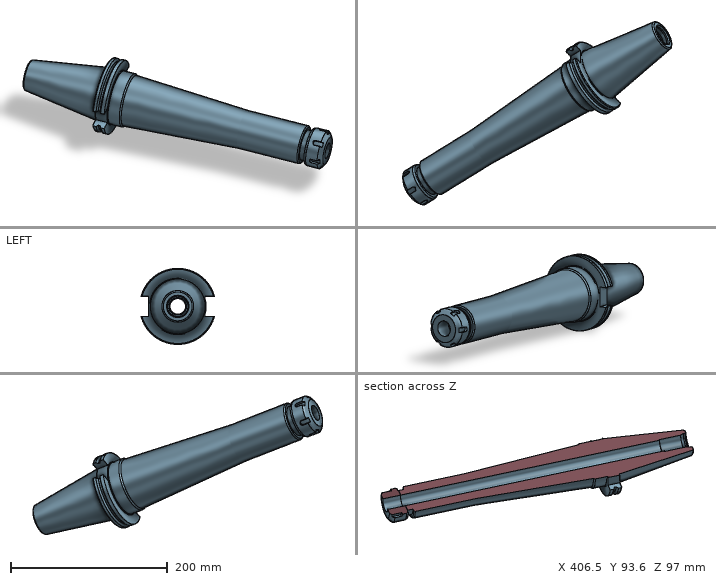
import cadquery as cq
import math

OVERALL = 406.5

GAUGE_X = 102.5
FLANGE_X = 104.5
FLANGE_LENGTH = 16.0
COLLAR_END_X = 136.5
CONE_END_X = 292.5
SHANK_END_X = 375.5
NUT_X = 383.0

GAUGE_D = 70.0
TAPER_RATIO = 7 / 24
FLANGE_D = 97.0
COLLAR_D = 70.5
CONE_LARGE_D = 67.0
SHANK_D = 50.0
NECK_D = 40.0

TAPER_CHAMFER = 1.5
FLANGE_CHAMFER = 1.2
COLLAR_CHAMFER = 2.0
SHANK_CHAMFER = 1.5
FLANGE_ROOT_RADIUS = 1.0

GROOVE_FLOOR = 2.5
GROOVE_DEPTH = 3.3
GROOVE_WALL_ANGLE = 30.0

SLOT_WIDTH = 25.5
SLOT_FLOOR_FRONT = 35.0
SLOT_FLOOR_BACK = 37.5

MOUTH_D = 28.5
MOUTH_DEPTH = 2.0
COUNTERBORE_D = 26.0
COUNTERBORE_DEPTH = 4.0
THREAD_X = 8.0
THREAD_D = 22.5
THREAD_DEPTH = 36.5
BORE_D = 20.0

NUT_D = 50.0
NUT_REAR_CHAMFER_LENGTH = 3.0
NUT_REAR_CHAMFER_DEPTH = 1.2
NUT_EDGE_X = 401.0
NUT_NOSE_X = 403.0
NUT_NOSE_D = 46.5
NUT_FACE_D = 36.0
WRENCH_SLOTS = 6
WRENCH_SLOT_WIDTH = 6.0
WRENCH_SLOT_X = 391.0
WRENCH_SLOT_FLOOR = 22.0


def turned(points):
    """Solid turned about the X axis from a profile of (x, radius) points."""
    return cq.Workplane("XY").polyline(points).close().revolve(360, (0, 0, 0), (1, 0, 0))


def fillet_circle(body, x, diameter, radius):
    """Fillet the circular edge of the given diameter in the plane at x."""
    reach = diameter / 2 + radius
    around = cq.selectors.BoxSelector(
        (x - radius, -reach, -reach), (x + radius, reach, reach), boundingbox=True
    )
    return body.edges(around).fillet(radius)


def holder_blank():
    gauge_r = GAUGE_D / 2
    tip_r = gauge_r - GAUGE_X * TAPER_RATIO / 2
    flange_r = FLANGE_D / 2
    flange_end = FLANGE_X + FLANGE_LENGTH
    shank_r = SHANK_D / 2
    blank = turned([
        (0, 0),
        (0, tip_r - TAPER_CHAMFER),
        (TAPER_CHAMFER, tip_r + TAPER_CHAMFER * TAPER_RATIO / 2),
        (GAUGE_X, gauge_r),
        (FLANGE_X, gauge_r),
        (FLANGE_X, flange_r - FLANGE_CHAMFER),
        (FLANGE_X + FLANGE_CHAMFER, flange_r),
        (flange_end, flange_r),
        (flange_end, COLLAR_D / 2),
        (COLLAR_END_X, COLLAR_D / 2),
        (COLLAR_END_X + COLLAR_CHAMFER, CONE_LARGE_D / 2),
        (CONE_END_X, shank_r),
        (SHANK_END_X - SHANK_CHAMFER, shank_r),
        (SHANK_END_X, shank_r - SHANK_CHAMFER),
        (SHANK_END_X, NECK_D / 2),
        (NUT_X, NECK_D / 2),
        (NUT_X, 0),
    ])
    return fillet_circle(
        fillet_circle(blank, FLANGE_X, GAUGE_D, FLANGE_ROOT_RADIUS),
        flange_end, COLLAR_D, FLANGE_ROOT_RADIUS,
    )


def gripper_groove():
    middle = FLANGE_X + FLANGE_LENGTH / 2
    half_floor = GROOVE_FLOOR / 2
    half_mouth = half_floor + GROOVE_DEPTH * math.tan(math.radians(GROOVE_WALL_ANGLE))
    floor_r = FLANGE_D / 2 - GROOVE_DEPTH
    return turned([
        (middle - half_mouth, FLANGE_D / 2),
        (middle - half_floor, floor_r),
        (middle + half_floor, floor_r),
        (middle + half_mouth, FLANGE_D / 2),
    ])


def drive_slot(floor, side):
    """Cutter for one drive slot; side is -1 for -Y and +1 for +Y."""
    depth = FLANGE_D / 2 - floor
    return (
        cq.Workplane("XY")
        .box(FLANGE_LENGTH, depth, SLOT_WIDTH)
        .translate((FLANGE_X + FLANGE_LENGTH / 2, side * (floor + depth / 2), 0))
    )


def holder_bore():
    return turned([
        (0, 0),
        (0, MOUTH_D / 2),
        (MOUTH_DEPTH, COUNTERBORE_D / 2),
        (COUNTERBORE_DEPTH, COUNTERBORE_D / 2),
        (THREAD_X, THREAD_D / 2),
        (THREAD_DEPTH, THREAD_D / 2),
        (THREAD_DEPTH, BORE_D / 2),
        (NUT_X, BORE_D / 2),
        (NUT_X, 0),
    ])


def make_holder():
    return (
        holder_blank()
        .cut(gripper_groove())
        .cut(drive_slot(SLOT_FLOOR_FRONT, -1))
        .cut(drive_slot(SLOT_FLOOR_BACK, 1))
        .cut(holder_bore())
    )


def wrench_slot(angle):
    """Round-ended slot cutter, open at the nut face, turned by angle from the -Y side."""
    end_r = WRENCH_SLOT_WIDTH / 2
    arc_x = WRENCH_SLOT_X + end_r
    cutter = (
        cq.Workplane("XZ", origin=(0, -WRENCH_SLOT_FLOOR, 0))
        .moveTo(OVERALL, -end_r)
        .lineTo(arc_x, -end_r)
        .threePointArc((WRENCH_SLOT_X, 0), (arc_x, end_r))
        .lineTo(OVERALL, end_r)
        .close()
        .extrude(NUT_D / 2)
    )
    return cutter.rotate((0, 0, 0), (1, 0, 0), angle)


def make_nut():
    nut_r = NUT_D / 2
    nut = turned([
        (NUT_X, BORE_D / 2),
        (NUT_X, nut_r - NUT_REAR_CHAMFER_DEPTH),
        (NUT_X + NUT_REAR_CHAMFER_LENGTH, nut_r),
        (NUT_EDGE_X, nut_r),
        (NUT_NOSE_X, NUT_NOSE_D / 2),
        (OVERALL, NUT_FACE_D / 2),
        (OVERALL, BORE_D / 2),
    ])
    for i in range(WRENCH_SLOTS):
        nut = nut.cut(wrench_slot(i * 360 / WRENCH_SLOTS))
    return nut


holder = make_holder()
nut = make_nut()

result = cq.Compound.makeCompound([holder.val(), nut.val()])